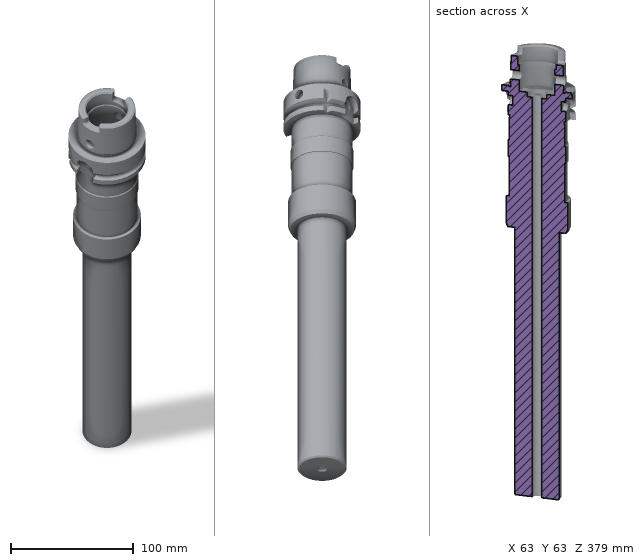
import cadquery as cq
import math

total_length = 379.0
flange_top = total_length - 32.2
flange_bottom = total_length - 57.5
band_top = total_length - 78.0
band_bottom = total_length - 93.0
nut_top = total_length - 126.0
nut_bottom = total_length - 152.5

shank_radius = 40.0 / 2
shank_chamfer = 1.0
nut_radius = 27.5
nut_chamfer_height = 3.5
nut_chamfer_depth = 1.5
body_radius = 50.0 / 2
band_radius = 25.8
band_chamfer_height = 0.8
neck_radius = 24.5
neck_length = 1.5
neck_cone_height = 2.0
flange_radius = 63.0 / 2
groove_radius = 27.0
groove_lower_edge = flange_bottom + 4.5
groove_floor_bottom = flange_bottom + 5.5
groove_floor_top = flange_bottom + 9.0
groove_upper_edge = flange_bottom + 11.5
undercut_height = 2.3
undercut_shoulder_height = 1.0
undercut_depth = 1.0
undercut_floor_radius = 23.5
undercut_face_radius = 25.8
taper_base_radius = 48.5 / 2
taper_tip_radius = 23.0
rim_chamfer_height = 0.8
rim_chamfer_depth = 1.0

bore_mouth_radius = 18.2
bore_mouth_chamfer = 1.0
bore_radius = 34.0 / 2
bore_depth = 13.5
inner_bore_radius = 31.5 / 2
inner_bore_depth = 36.0
floor_radius = 30.5 / 2
pocket_radius = 17.0 / 2
pocket_depth = 3.8
through_hole_radius = 8.5 / 2

slot_width = 13.0
slot_mouth_width = 20.5
slot_mouth_offset = 21.5
front_slot_depth = 6.5
rear_slot_depth = 10.0
slot_fillet = 2.0

cross_hole_diameter = 7.5
cross_hole_mouth_diameter = 9.0
cross_hole_mouth_start = 22.7
cross_hole_mouth_end = 24.3
cross_hole_height = total_length - 22.7
grip_width = 16.5
grip_floor_offset = 25.8
grip_center_height = total_length - 46.0
grip_hole_diameter = 7.5
grip_hole_height = total_length - 44.7
grip_hole_depth = 3.8
side_hole_diameter = 8.5
side_hole_height = total_length - 39.0
side_hole_depth = 5.5

notch_corner = 19.7
notch_width = 14.5
notch_top = total_length - 36.8


def turned_body():
    """Outside of the holder, from the shank tip up to the taper rim."""
    undercut_top = flange_top + undercut_height
    undercut_bottom = flange_top - undercut_depth
    neck_bottom = flange_bottom - neck_length
    outline = [
        (0, 0),
        (shank_radius - shank_chamfer, 0),
        (shank_radius, shank_chamfer),
        (shank_radius, nut_bottom),
        (nut_radius - nut_chamfer_depth, nut_bottom),
        (nut_radius, nut_bottom + nut_chamfer_height),
        (nut_radius, nut_top),
        (body_radius, nut_top),
        (body_radius, band_bottom),
        (band_radius, band_bottom),
        (band_radius, band_top - band_chamfer_height),
        (body_radius, band_top),
        (body_radius, neck_bottom - neck_cone_height),
        (neck_radius, neck_bottom),
        (neck_radius, flange_bottom),
        (flange_radius, flange_bottom),
        (flange_radius, groove_lower_edge),
        (groove_radius, groove_floor_bottom),
        (groove_radius, groove_floor_top),
        (flange_radius, groove_upper_edge),
        (flange_radius, flange_top),
        (undercut_face_radius, flange_top),
        (undercut_floor_radius, undercut_bottom),
        (undercut_floor_radius, flange_top + undercut_shoulder_height),
        (taper_base_radius, undercut_top),
        (taper_tip_radius, total_length - rim_chamfer_height),
        (taper_tip_radius - rim_chamfer_depth, total_length),
        (0, total_length),
    ]
    return cq.Workplane("XZ").polyline(outline).close().revolve(360, (0, 0), (0, 1))


def bore():
    """Stepped bore from the rim, with a narrow hole running on through the whole length."""
    floor_height = total_length - inner_bore_depth
    floor_chamfer = inner_bore_radius - floor_radius
    pocket_floor = floor_height - pocket_depth
    outline = [
        (0, 0),
        (through_hole_radius, 0),
        (through_hole_radius, pocket_floor),
        (pocket_radius, pocket_floor),
        (pocket_radius, floor_height),
        (floor_radius, floor_height),
        (inner_bore_radius, floor_height + floor_chamfer),
        (inner_bore_radius, total_length - bore_depth),
        (bore_radius, total_length - bore_depth),
        (bore_radius, total_length - bore_mouth_chamfer),
        (bore_mouth_radius, total_length),
        (0, total_length),
    ]
    return cq.Workplane("XZ").polyline(outline).close().revolve(360, (0, 0), (0, 1))


def drive_slot(side, depth):
    """Slot through the rim on the +Y (side 1) or -Y (side -1) wall, flaring outward in two arcs."""
    half = slot_width / 2
    mouth_half = slot_mouth_width / 2
    flare = mouth_half - half
    flare_start = slot_mouth_offset - flare
    bend = flare * math.sqrt(0.5)
    mid_x = mouth_half - bend
    mid_y = flare_start + bend
    outside = flange_radius
    return (
        cq.Workplane("XY", origin=(0, 0, total_length - depth))
        .moveTo(-half, 0)
        .lineTo(half, 0)
        .lineTo(half, side * flare_start)
        .threePointArc((mid_x, side * mid_y), (mouth_half, side * slot_mouth_offset))
        .lineTo(mouth_half, side * outside)
        .lineTo(-mouth_half, side * outside)
        .lineTo(-mouth_half, side * slot_mouth_offset)
        .threePointArc((-mid_x, side * mid_y), (-half, side * flare_start))
        .close()
        .extrude(depth)
        .faces("<Z")
        .edges()
        .fillet(slot_fillet)
    )


def cross_hole():
    """Hole along Y through both taper walls, widening in a cone at each outer end."""
    radius = cross_hole_diameter / 2
    mouth_radius = cross_hole_mouth_diameter / 2
    outline = [
        (0, -cross_hole_mouth_end),
        (mouth_radius, -cross_hole_mouth_end),
        (radius, -cross_hole_mouth_start),
        (radius, cross_hole_mouth_start),
        (mouth_radius, cross_hole_mouth_end),
        (0, cross_hole_mouth_end),
    ]
    return (
        cq.Workplane("XY", origin=(0, 0, cross_hole_height))
        .polyline(outline)
        .close()
        .revolve(360, (0, 0), (0, 1))
    )


def grip_recess(side):
    """Round-topped flat across the flange with a blind hole, on the +Y or -Y side."""
    floor = cq.Workplane("XZ", origin=(0, side * grip_floor_offset, grip_center_height))
    reach = -side * flange_radius
    leg_length = grip_center_height - flange_bottom
    arch = floor.circle(grip_width / 2).extrude(reach)
    leg = floor.center(0, -leg_length / 2).rect(grip_width, leg_length).extrude(reach)
    hole_center = floor.center(0, grip_hole_height - grip_center_height)
    hole = hole_center.circle(grip_hole_diameter / 2).extrude(side * grip_hole_depth)
    return arch.union(leg).union(hole)


def side_hole():
    """Blind radial hole in the -X side of the flange."""
    return (
        cq.Workplane("YZ", origin=(-flange_radius, 0, side_hole_height))
        .circle(side_hole_diameter / 2)
        .extrude(side_hole_depth)
    )


def orientation_notch():
    """Round-topped slot along Y with a square end, cut into the -X -Y corner of the flange."""
    radius = notch_width / 2
    arch_height = notch_top - radius
    leg_length = arch_height - flange_bottom
    end = cq.Workplane("XZ", origin=(-notch_corner - radius, -notch_corner, arch_height))
    arch = end.circle(radius).extrude(flange_radius)
    leg = end.center(0, -leg_length / 2).rect(notch_width, leg_length).extrude(flange_radius)
    return arch.union(leg)


result = turned_body().cut(bore())
result = result.cut(drive_slot(-1, front_slot_depth)).cut(drive_slot(1, rear_slot_depth))
result = result.cut(cross_hole())
for side in (-1, 1):
    result = result.cut(grip_recess(side))
result = result.cut(side_hole()).cut(orientation_notch())